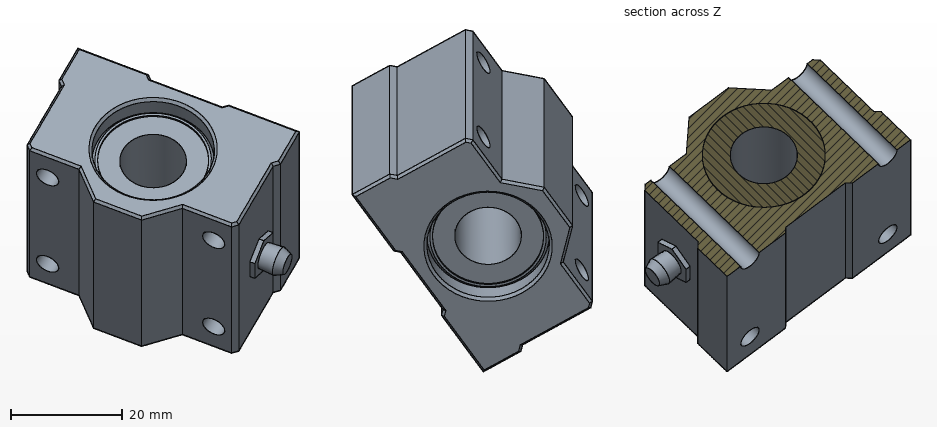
import cadquery as cq
import math


housing_length = 39.0
flange_half_width = 22.0
body_half_width = 21.03
mounting_face_y = 15.0
nose_face_y = -15.0
flange_bottom_y = 6.95
shoulder_y = -9.5
nose_half_width = 4.75
corner_chamfer = 0.95
relief_half_width = 8.0
relief_depth = 0.9
end_chamfer = 0.5

mounting_hole_diameter = 4.4
mounting_hole_x = 16.5
mounting_hole_z = 13.0

bore_radius = 11.0
bore_chamfer = 0.55
bearing_depth = 3.3
bearing_chamfer = 0.55
bearing_lip_width = 0.5
bearing_face_recess = 0.35
shaft_radius = 6.0

nipple_tip_x = 26.65
hex_thickness = 0.95
hex_corner_radius = 4.45
nipple_base_radius = 2.55
nipple_bulge_radius = 2.73
nipple_tip_radius = 1.95
nipple_nose_length = 1.7


def cylinder_along_z(radius, length):
    """Cylinder about the bore axis, centred on the origin."""
    return cq.Workplane("XY").cylinder(length, radius)


def housing_blank():
    """Extruded outline with chamfered end faces; all sloping sides lie at 45 degrees."""
    flange_step = flange_half_width - body_half_width
    nose_root_half_width = nose_half_width + shoulder_y - nose_face_y
    right_side = [
        (relief_half_width - relief_depth, mounting_face_y - relief_depth),
        (relief_half_width, mounting_face_y),
        (flange_half_width, mounting_face_y),
        (flange_half_width, flange_bottom_y),
        (body_half_width, flange_bottom_y - flange_step),
        (body_half_width, shoulder_y + corner_chamfer),
        (body_half_width - corner_chamfer, shoulder_y),
        (nose_root_half_width, shoulder_y),
        (nose_half_width, nose_face_y),
    ]
    left_side = [(-x, y) for x, y in reversed(right_side)]
    outline = cq.Workplane("XY").polyline(right_side + left_side).close()
    blank = outline.extrude(housing_length / 2, both=True)
    return blank.faces("|Z").edges().chamfer(end_chamfer)


def mounting_holes():
    """Four through holes along Y."""
    return (
        cq.Workplane("XZ")
        .rect(2 * mounting_hole_x, 2 * mounting_hole_z, forConstruction=True)
        .vertices()
        .circle(mounting_hole_diameter / 2)
        .extrude(mounting_face_y - nose_face_y, both=True)
    )


def make_housing():
    """Block with a through bore, chamfered at both ends, and four mounting holes."""
    bored = housing_blank().cut(cylinder_along_z(bore_radius, housing_length))
    bore_edges = cq.selectors.RadiusNthSelector(0)
    bored = bored.faces("|Z").edges("%CIRCLE").edges(bore_edges).chamfer(bore_chamfer)
    return bored.cut(mounting_holes())


def make_bearing():
    """Bushing filling the bore, with chamfered ends and a raised lip around each recessed end face."""
    length = housing_length - 2 * bearing_depth
    bearing = cylinder_along_z(bore_radius, length).faces("|Z").edges().chamfer(bearing_chamfer)
    lip_inner_radius = bore_radius - bearing_chamfer - bearing_lip_width
    for end in (1, -1):
        recess = (
            cq.Workplane("XY", origin=(0, 0, end * length / 2))
            .circle(lip_inner_radius)
            .extrude(-end * bearing_face_recess)
        )
        bearing = bearing.cut(recess)
    return bearing.cut(cylinder_along_z(shaft_radius, length))


def make_grease_nipple():
    """Hexagon seated on the housing side with a flared stem and a tapered nose."""
    stem_start_x = body_half_width + hex_thickness
    hex_corners = []
    for corner in range(6):
        angle = math.radians(90 + 60 * corner)
        hex_corners.append((hex_corner_radius * math.cos(angle), hex_corner_radius * math.sin(angle)))
    hexagon = (
        cq.Workplane("YZ", origin=(body_half_width, 0, 0))
        .polyline(hex_corners)
        .close()
        .extrude(hex_thickness)
    )
    half_section = [
        (stem_start_x, 0),
        (stem_start_x, nipple_base_radius),
        (nipple_tip_x - nipple_nose_length, nipple_bulge_radius),
        (nipple_tip_x, nipple_tip_radius),
        (nipple_tip_x, 0),
    ]
    stem = cq.Workplane("XY").polyline(half_section).close().revolve(360, (0, 0, 0), (1, 0, 0))
    return hexagon.union(stem)


housing = make_housing()
bearing = make_bearing()
grease_nipple = make_grease_nipple()

result = cq.Compound.makeCompound([housing.val(), bearing.val(), grease_nipple.val()])